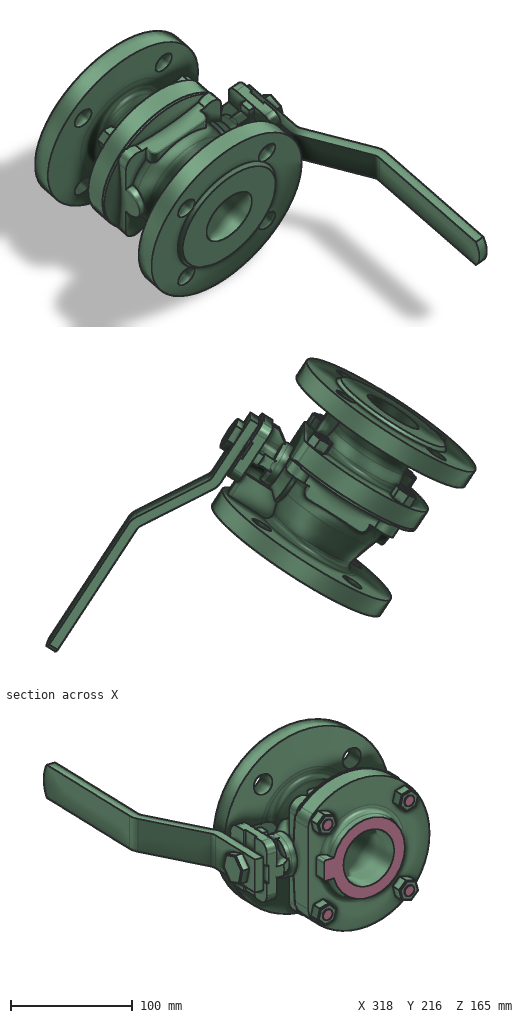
import cadquery as cq
import math


face_to_face = 150.0
bore_diameter = 50.0
flange_diameter = 165.0
flange_radius = flange_diameter / 2
raised_height = 3.2
raised_face_radius = 51.0
raised_base_radius = 53.7
flange_rim_x = 19.0
flange_back_x = 20.0
flange_hole_diameter = 18.0
flange_hole_offset = 44.2
root_fillet = 5.5

joint_radius = 68.0
joint_start_x = 52.8
joint_split_x = 70.0
joint_seam_step = 0.3
joint_end_x = 72.2
joint_flat_y = 52.8
joint_flat_fillet = 16.2
cap_neck_radius = 35.0
cap_waist_x = 32.0
cap_curve_x = 37.5
cap_curve_radius = 35.3
cap_flare_radius = 37.2

body_radius = 47.5
body_start_x = 75.7
body_arc_x = 87.5
body_cone_x = 100.8
body_cone_radius = 45.5
body_neck_x = 123.0
body_neck_radius = 38.8

bolt_offset = 40.7
bolt_diameter = 10.0
bolt_tip_x = 41.3
nut_start_x = 42.5
nut_across_flats = 17.2
nut_turn = 30
boss_radius = 11.5
block_half_y = bolt_offset + boss_radius
block_half_z = 50.2
block_start_x = 71.2
block_end_x = 81.5
side_pad_end_x = 91.3
side_pad_half_y = 30.2
side_pad_corner = 5.7
front_pad_radius = 15.3
front_pad_centre_x = 83.0
pad_edge_fillet = 1.0

stem_x = 87.8
neck_radius = 19.0
neck_base_radius = 27.5
neck_base_y = 42.5
neck_cone_top_y = 52.0
neck_top_y = 58.5
neck_shelf_radius = 18.0
neck_shelf_y = 62.3
arm_width = 10.2
arm_inner_fillet = 9.5
arm_bottom_y = 72.0
side_arm_root = 36.3
pad_centre_x = 88.7
pad_size_x = 52.8
pad_size_z = 55.0
pad_corner = 9.0
pad_bottom_y = 77.5
pad_top_y = 87.5
pad_groove_width = 16.0
pad_groove_depth = 2.0

web_thickness = 19.0
web_fillet = 2.5
cap_web_top_y = 44.8
body_web_top_y = 77.3
body_web_start_x = 107.5

handle_start_x = 66.0
handle_end_x = 318.0
handle_width = 30.0
handle_thickness = 8.3
handle_low_y = 96.7
overall_depth = 216.0
handle_high_y = overall_depth - flange_radius
handle_bend_x = 126.0
handle_slope = math.radians(30)
handle_inner_radius = 9.0
handle_end_bulge = 4.5
stem_nut_height = 7.5
stem_nut_across_flats = 24.2
stem_radius = 7.5
stem_nut_turn = 45

nut_chamfer = 1.0


def four_corners(offset):
    return [(y, z) for y in (-offset, offset) for z in (-offset, offset)]


def box(x_range, y_range, z_size):
    """Block centred on Z = 0."""
    x0, x1 = x_range
    y0, y1 = y_range
    return (
        cq.Workplane("XY", origin=((x0 + x1) / 2, (y0 + y1) / 2, -z_size / 2))
        .rect(x1 - x0, y1 - y0)
        .extrude(z_size)
    )


def along_y(x, y):
    """Plane facing +Y; its local axes are Z and X."""
    return cq.Workplane("ZX", origin=(x, y, 0))


def along_x(x):
    """Plane facing +X; its local axes are Y and Z."""
    return cq.Workplane("YZ", origin=(x, 0, 0))


def hex_prism(plane, across_flats, height, turn):
    """Hexagon whose first corner is turned by the given degrees from the plane's local X axis."""
    across_corners = across_flats / math.cos(math.pi / 6)
    return plane.transformed(rotate=(0, 0, turn)).polygon(6, across_corners).extrude(height)


def revolve_about_pipe(outline):
    return outline.close().revolve(360, (0, 0, 0), (1, 0, 0))


def pipe_flange():
    outline = (
        cq.Workplane("XY")
        .lineTo(0, raised_face_radius)
        .lineTo(raised_height, raised_base_radius)
        .lineTo(raised_height, flange_radius)
        .lineTo(flange_rim_x, flange_radius)
        .lineTo(flange_back_x, body_radius)
        .lineTo(flange_back_x, 0)
    )
    holes = along_x(0).pushPoints(four_corners(flange_hole_offset))
    holes = holes.circle(flange_hole_diameter / 2)
    return revolve_about_pipe(outline).cut(holes.extrude(flange_back_x))


def cap_neck():
    root = root_fillet
    outline = (
        cq.Workplane("XY")
        .moveTo(flange_back_x, 0)
        .lineTo(flange_back_x, cap_neck_radius + root)
        .radiusArc((flange_back_x + root, cap_neck_radius), -root)
        .lineTo(cap_waist_x, cap_neck_radius)
        .tangentArcPoint((cap_curve_x, cap_curve_radius), relative=False)
        .lineTo(joint_start_x - root, cap_flare_radius)
        .radiusArc((joint_start_x, cap_flare_radius + root), -root)
        .lineTo(joint_start_x, 0)
    )
    return revolve_about_pipe(outline)


def joint():
    """Cap disc and body disc with one flat towards the handle."""
    outline = (
        cq.Workplane("XY")
        .moveTo(joint_start_x, 0)
        .lineTo(joint_start_x, joint_radius)
        .lineTo(joint_split_x, joint_radius)
        .lineTo(joint_split_x, joint_radius - joint_seam_step)
        .lineTo(joint_end_x, joint_radius - joint_seam_step)
        .lineTo(body_start_x, body_radius)
        .lineTo(body_start_x, 0)
    )
    rim_centre_y = joint_flat_y - joint_flat_fillet
    rim_centre_z = math.sqrt((joint_radius - joint_flat_fillet) ** 2 - rim_centre_y ** 2)
    grow = joint_radius / (joint_radius - joint_flat_fillet)
    touch = (rim_centre_y * grow, rim_centre_z * grow)
    lean = math.atan2(rim_centre_z, rim_centre_y) / 2
    middle = (
        rim_centre_y + joint_flat_fillet * math.cos(lean),
        rim_centre_z + joint_flat_fillet * math.sin(lean),
    )
    silhouette = (
        along_x(joint_start_x)
        .moveTo(joint_flat_y, -rim_centre_z)
        .lineTo(joint_flat_y, rim_centre_z)
        .threePointArc(middle, touch)
        .threePointArc((-joint_radius, 0), (touch[0], -touch[1]))
        .threePointArc((middle[0], -middle[1]), (joint_flat_y, -rim_centre_z))
        .close()
        .extrude(body_start_x - joint_start_x)
    )
    return revolve_about_pipe(outline).intersect(silhouette)


def ball_body():
    root = root_fillet
    back_x = face_to_face - flange_back_x
    outline = (
        cq.Workplane("XY")
        .moveTo(joint_end_x, 0)
        .lineTo(joint_end_x, body_radius)
        .lineTo(body_arc_x, body_radius)
        .tangentArcPoint((body_cone_x, body_cone_radius), relative=False)
        .lineTo(body_neck_x, body_neck_radius)
        .lineTo(back_x - root, body_neck_radius)
        .radiusArc((back_x, body_neck_radius + root), -root)
        .lineTo(back_x, 0)
    )
    return revolve_about_pipe(outline)


def bolt_block():
    """Square block behind the joint with round bosses at its corners."""
    depth = block_end_x - block_start_x
    plane = along_x(block_start_x)
    tall = plane.rect(2 * block_half_y, 2 * bolt_offset).extrude(depth)
    wide = plane.rect(2 * bolt_offset, 2 * block_half_z).extrude(depth)
    bosses = plane.pushPoints(four_corners(bolt_offset)).circle(boss_radius).extrude(depth)
    return tall.union(wide).union(bosses)


def block_pads():
    """Flat pads on both Z sides and a round-ended pad on the side away from the stem."""
    side = (
        cq.Workplane("XY", origin=(0, 0, -block_half_z))
        .center((block_start_x + side_pad_end_x) / 2, 0)
        .rect(side_pad_end_x - block_start_x, 2 * side_pad_half_y)
        .extrude(2 * block_half_z)
        .edges("|Z")
        .fillet(side_pad_corner)
        .faces(">Z or <Z")
        .edges()
        .fillet(pad_edge_fillet)
    )
    front = (
        along_y(front_pad_centre_x, -block_half_y)
        .circle(front_pad_radius)
        .extrude(block_half_y)
        .faces("<Y")
        .edges()
        .fillet(pad_edge_fillet)
    )
    return side.union(front)


def joint_bolts():
    """Bolts with hexagonal nuts whose flats face the pipe axis."""
    bolts = along_x(bolt_tip_x).pushPoints(four_corners(bolt_offset)).circle(bolt_diameter / 2)
    bolts = bolts.extrude(joint_split_x - bolt_tip_x)
    nut = hex_prism(along_x(nut_start_x), nut_across_flats, joint_start_x - nut_start_x, nut_turn)
    nut = nut.faces("<X").chamfer(nut_chamfer)
    bolt_circle_radius = bolt_offset * math.sqrt(2)
    for angle in (45, 135, 225, 315):
        placed = nut.translate((0, bolt_circle_radius, 0)).rotate((0, 0, 0), (1, 0, 0), angle)
        bolts = bolts.union(placed)
    return bolts


def stem_neck():
    outline = (
        cq.Workplane("XY")
        .moveTo(stem_x, 0)
        .lineTo(stem_x + neck_base_radius, 0)
        .lineTo(stem_x + neck_base_radius, neck_base_y)
        .lineTo(stem_x + neck_radius, neck_cone_top_y)
        .lineTo(stem_x + neck_radius, neck_top_y)
        .lineTo(stem_x + neck_shelf_radius, neck_shelf_y)
        .lineTo(stem_x, neck_shelf_y)
        .close()
    )
    return outline.revolve(360, (stem_x, 0, 0), (stem_x, 1, 0))


def mounting_pad():
    pad = (
        along_y(pad_centre_x, pad_bottom_y)
        .rect(pad_size_z, pad_size_x)
        .extrude(pad_top_y - pad_bottom_y)
        .edges("|Y")
        .fillet(pad_corner)
    )
    grooves = along_y(stem_x, pad_top_y - pad_groove_depth)
    for size_z, size_x in ((2 * pad_size_z, pad_groove_width), (pad_groove_width, 2 * pad_size_x)):
        pad = pad.cut(grooves.rect(size_z, size_x).extrude(pad_groove_depth))
    return pad


def pad_arms():
    """Four arms in a cross that carry the pad, tapering inwards to the neck."""
    height = pad_bottom_y - neck_top_y
    plane = along_y(pad_centre_x, neck_top_y)
    across = plane.rect(side_arm_root, arm_width).extrude(height)
    lengthwise = plane.rect(arm_width, pad_size_x).extrude(height)
    inner = cq.selectors.BoxSelector(
        (pad_centre_x - arm_width, neck_top_y, -arm_width),
        (pad_centre_x + arm_width, pad_bottom_y, arm_width),
    )
    cross = across.union(lengthwise).edges("|Y").edges(inner).fillet(arm_inner_fillet)
    side_tips = along_y(pad_centre_x, arm_bottom_y).rect(pad_size_z, arm_width)
    cross = cross.union(side_tips.extrude(pad_bottom_y - arm_bottom_y))
    tip_radius = pad_size_z / 2
    taper = (
        cq.Workplane("XY")
        .moveTo(pad_centre_x, neck_top_y)
        .lineTo(pad_centre_x + neck_shelf_radius, neck_top_y)
        .lineTo(pad_centre_x + tip_radius, arm_bottom_y)
        .lineTo(pad_centre_x + tip_radius, pad_bottom_y)
        .lineTo(pad_centre_x, pad_bottom_y)
        .close()
        .revolve(360, (pad_centre_x, 0, 0), (pad_centre_x, 1, 0))
    )
    return cross.intersect(taper)


def web(start_x, end_x, top_y):
    """Upright web between the pipe and its top edge, rounded along the top."""
    plate = box((start_x, end_x), (bore_diameter / 2, top_y), web_thickness)
    return plate.edges(">Y and |X").fillet(web_fillet)


def handle():
    rise = handle_high_y - handle_low_y
    high_bend_x = handle_bend_x + rise / math.tan(handle_slope)
    bend_shift = handle_thickness * math.tan(handle_slope / 2)
    bar = (
        cq.Workplane("XY", origin=(0, 0, -handle_width / 2))
        .moveTo(handle_start_x, handle_low_y)
        .lineTo(handle_bend_x, handle_low_y)
        .lineTo(high_bend_x, handle_high_y)
        .lineTo(handle_end_x, handle_high_y)
        .lineTo(handle_end_x, handle_high_y - handle_thickness)
        .lineTo(high_bend_x + bend_shift, handle_high_y - handle_thickness)
        .lineTo(handle_bend_x + bend_shift, handle_low_y - handle_thickness)
        .lineTo(handle_start_x, handle_low_y - handle_thickness)
        .close()
        .extrude(handle_width)
    )
    inner_bends = (
        (handle_bend_x, handle_low_y),
        (high_bend_x + bend_shift, handle_high_y - handle_thickness),
    )
    outer_bends = (
        (handle_bend_x + bend_shift, handle_low_y - handle_thickness),
        (high_bend_x, handle_high_y),
    )
    for bends, radius in (
        (inner_bends, handle_inner_radius),
        (outer_bends, handle_inner_radius + handle_thickness),
    ):
        for x, y in bends:
            bar = bar.edges(cq.selectors.NearestToPointSelector((x, y, 0))).fillet(radius)

    half = handle_width / 2
    plan = (
        along_y(0, 0)
        .moveTo(-half, handle_start_x)
        .lineTo(-half, handle_end_x - handle_end_bulge)
        .threePointArc((0, handle_end_x), (half, handle_end_x - handle_end_bulge))
        .lineTo(half, handle_start_x)
        .close()
        .extrude(handle_high_y)
    )
    return bar.intersect(plan)


def stem_and_nut():
    stem = along_y(stem_x, neck_top_y).circle(stem_radius).extrude(handle_low_y - neck_top_y)
    nut = hex_prism(along_y(stem_x, handle_low_y), stem_nut_across_flats, stem_nut_height, stem_nut_turn)
    nut = nut.faces(">Y").chamfer(nut_chamfer)
    return stem.union(nut)


cap_flange = pipe_flange()
body_flange = cap_flange.mirror("YZ").translate((face_to_face, 0, 0))
bore = along_x(0).circle(bore_diameter / 2).extrude(face_to_face)

result = cap_flange
for feature in (
    body_flange,
    cap_neck(),
    joint(),
    ball_body(),
    bolt_block(),
    block_pads(),
    stem_neck(),
    web(flange_back_x, joint_start_x, cap_web_top_y),
    web(body_web_start_x, face_to_face - flange_back_x, body_web_top_y),
    mounting_pad(),
    pad_arms(),
):
    result = result.union(feature)
result = result.cut(bore)
for feature in (joint_bolts(), stem_and_nut(), handle()):
    result = result.union(feature)